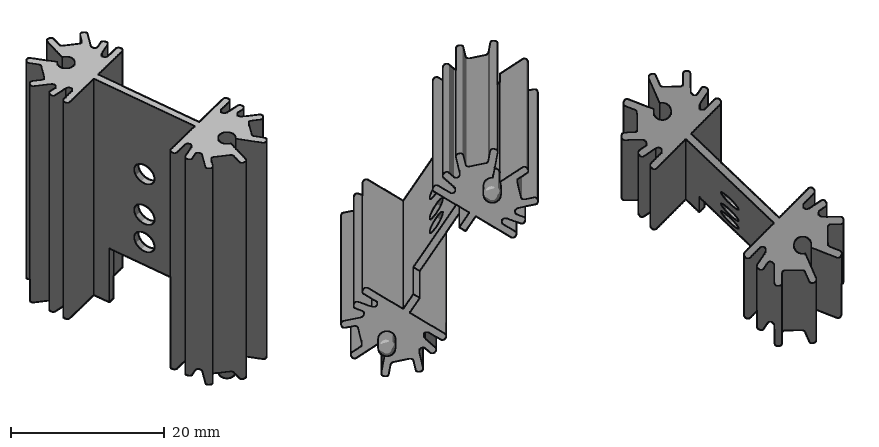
import cadquery as cq
import math


body_height = 38.1
web_thickness = 1.0
lobe_inner_x = 8.0

overall_width = 34.6
overall_depth = 12.7
fin_thickness = 1.0
fin_length = 3.2
tip_fillet = 0.4
root_radius = 0.4
low_fin_angle = 22.5
low_fin_tip_y = 2.55
low_fin_slant = math.radians(low_fin_angle)
low_fin_tip_x = (
    overall_width / 2
    - tip_fillet * (1 - math.cos(low_fin_slant))
    - (fin_thickness / 2 - tip_fillet) * math.sin(low_fin_slant)
)
angled_fins = [
    (10.85, 6.25, 79),
    (14.23, 6.07, 45),
    (low_fin_tip_x, low_fin_tip_y, low_fin_angle),
]

core_low_y = 4.1
core_high_y = 4.35
core_step_x = 10.52
core_corner_x = 13.0
core_setback = 0.5
groove_radius = 0.45

pin_x = 12.75
pin_diameter = 2.3
pin_exposed = 3.5
pin_inserted = 3.58
pin_tip_fillet = 0.55

notch_width = 11.05
notch_height = 9.5
hole_diameter = 3.2
hole_heights = [13.5, 18.35, 25.45]


def fin(tip_x, tip_y, angle, length):
    """Straight fin with rounded tip corners, running from its tip back into the core."""
    return (
        cq.Workplane("XY")
        .moveTo(-length / 2, 0)
        .rect(length, fin_thickness)
        .extrude(body_height)
        .edges("|Z and >X")
        .fillet(tip_fillet)
        .rotate((0, 0, 0), (0, 0, 1), angle)
        .translate((tip_x, tip_y, 0))
    )


def flat_fin():
    """Fin flush with the inner face of the lobe."""
    reach = overall_depth / 2
    return fin(lobe_inner_x + fin_thickness / 2, reach, 90, reach)


def core():
    """Quarter of the lobe core, ending along the inner side of the lowest fin."""
    slope = math.tan(low_fin_slant)
    mouth_x = low_fin_tip_x - low_fin_tip_y / slope + fin_thickness / 2 / math.sin(low_fin_slant)
    flank_sum = core_corner_x + core_high_y
    end_x = (flank_sum + slope * mouth_x) / (1 + slope) - core_setback
    end_y = slope * (end_x - mouth_x)
    return (
        cq.Workplane("XY")
        .polyline([
            (lobe_inner_x, 0),
            (mouth_x, 0),
            (end_x, end_y),
            (end_x, flank_sum - end_x),
            (core_corner_x, core_high_y),
            (core_step_x, core_high_y),
            (core_step_x, core_low_y),
            (lobe_inner_x, core_low_y),
        ])
        .close()
        .extrude(body_height)
    )


def round_roots(solid):
    """Round every inner corner of the section by growing and shrinking its outline."""
    outline = solid.faces("<Z").wires().vals()[0]
    grown = outline.offset2D(root_radius, "arc")[0]
    rounded = grown.offset2D(-root_radius, "arc")[0]
    return cq.Workplane("XY").add(rounded).toPending().extrude(body_height)


def lobe():
    """Finned lobe on the +X side, with an open bore for its pin."""
    quarter = core().union(flat_fin())
    for tip_x, tip_y, angle in angled_fins:
        quarter = quarter.union(fin(tip_x, tip_y, angle, fin_length))
    groove = (
        cq.Workplane("XY")
        .center(lobe_inner_x + fin_thickness + groove_radius, core_low_y)
        .circle(groove_radius)
        .extrude(body_height)
    )
    quarter = quarter.cut(groove)
    section = round_roots(quarter.union(quarter.mirror("XZ")).clean())
    bore = cq.Workplane("XY").center(pin_x, 0).circle(pin_diameter / 2).extrude(body_height)
    return section.cut(bore)


def pin():
    """Pin with a rounded lower end."""
    return (
        cq.Workplane("XY", origin=(pin_x, 0, -pin_exposed))
        .circle(pin_diameter / 2)
        .extrude(pin_exposed + pin_inserted)
        .faces("<Z")
        .edges()
        .fillet(pin_tip_fillet)
    )


def web():
    """Flat plate between the lobes, with a bottom notch and a row of holes."""
    plate = cq.Workplane("XY").rect(2 * lobe_inner_x, web_thickness).extrude(body_height)
    notch = (
        cq.Workplane("XY")
        .rect(notch_width, 2 * web_thickness)
        .extrude(notch_height)
    )
    holes = (
        cq.Workplane("XZ", origin=(0, web_thickness, 0))
        .pushPoints([(0, height) for height in hole_heights])
        .circle(hole_diameter / 2)
        .extrude(2 * web_thickness)
    )
    return plate.cut(notch).cut(holes)


side = lobe().union(pin())
result = web().union(side).union(side.mirror("YZ"))